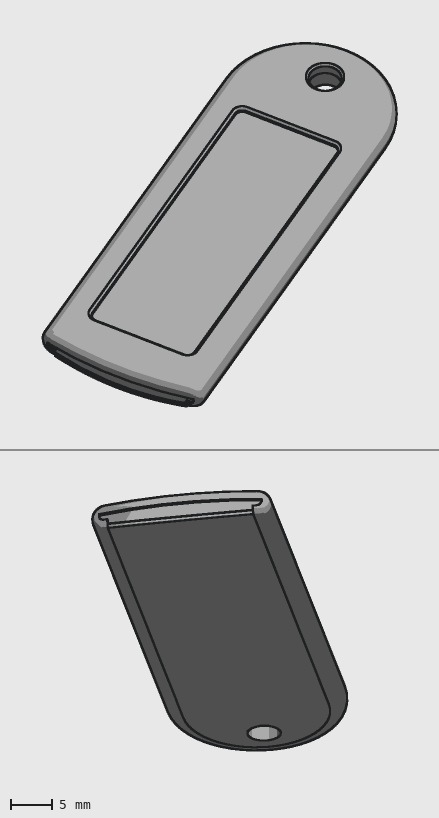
import cadquery as cq
import math

LENGTH = 60.0
WIDTH = 22.0
HEIGHT = 3.85

BASE_Z = 0.4
END_ARC_RADIUS = 50.0
END_FILLET = 1.0
HALF_WIDTH = WIDTH / 2
ROUND_END_Y = LENGTH - HALF_WIDTH
SIDE_RADIUS = (HEIGHT - BASE_Z) / 2
SIDE_CENTRE_X = HALF_WIDTH - SIDE_RADIUS
SIDE_CENTRE_Z = BASE_Z + SIDE_RADIUS

COVER_TOP_Z = 2.35
BELLY_HALF_WIDTH = 8.95
FLANGE_RADIUS = SIDE_RADIUS - END_FILLET
DOME_RADIUS = (BELLY_HALF_WIDTH**2 + BASE_Z**2) / (2 * BASE_Z)
COVER_SETBACK = 0.35
LIP_SETBACK = 0.25
LIP_THICKNESS = 0.55
LIP_LENGTH = 3.6
LIP_FILLET = 0.2

WINDOW_WIDTH = 13.9
WINDOW_LENGTH = 38.9
WINDOW_CENTRE_Y = 25.5
WINDOW_CORNER = 0.95
WINDOW_CHAMFER = 0.35
LABEL_TOP_Z = 3.25

HOLE_DIAMETER = 4.0
HOLE_CENTRE_Y = LENGTH - 5.95
HOLE_CHAMFER = 0.3

SECTION_PLANE = cq.Plane(origin=(0, ROUND_END_Y, 0), xDir=(1, 0, 0), normal=(0, -1, 0))


def straight_part(half_section):
    """Straight stretch of the tag, from the round end's centre to the front, on both sides."""
    right_half = half_section().extrude(ROUND_END_Y)
    return right_half.union(right_half.mirror("YZ"))


def round_part(half_section):
    """Semicircular end of the tag."""
    return half_section().revolve(180, (0, 0), (0, 1))


def end_disc(setback):
    """Upright cylinder whose front side is the bowed front end, moved back by a setback."""
    return (
        cq.Workplane("XY")
        .center(0, END_ARC_RADIUS)
        .circle(END_ARC_RADIUS - setback)
        .extrude(HEIGHT)
    )


def key_hole():
    """Cutter for the key ring hole."""
    return cq.Workplane("XY").center(0, HOLE_CENTRE_Y).circle(HOLE_DIAMETER / 2).extrude(HEIGHT)


def window_panel(top_z):
    """Panel with the outline of the window, from the top of the cover up to a given height."""
    return (
        cq.Workplane("XY", origin=(0, WINDOW_CENTRE_Y, COVER_TOP_Z))
        .rect(WINDOW_WIDTH, WINDOW_LENGTH)
        .extrude(top_z - COVER_TOP_Z)
        .edges("|Z")
        .fillet(WINDOW_CORNER)
    )


def housing_half_section():
    """Right half of the housing's outer section: flat top and bottom with a round side."""
    diagonal = SIDE_RADIUS * math.sqrt(0.5)
    return (
        cq.Workplane(SECTION_PLANE)
        .moveTo(0, BASE_Z)
        .lineTo(SIDE_CENTRE_X, BASE_Z)
        .threePointArc((SIDE_CENTRE_X + diagonal, SIDE_CENTRE_Z - diagonal), (HALF_WIDTH, SIDE_CENTRE_Z))
        .threePointArc((SIDE_CENTRE_X + diagonal, SIDE_CENTRE_Z + diagonal), (SIDE_CENTRE_X, HEIGHT))
        .lineTo(0, HEIGHT)
        .close()
    )


def cover_half_section():
    """Right half of the cover's section: flange with a round side above a domed belly."""
    half_belly_angle = math.asin(BELLY_HALF_WIDTH / DOME_RADIUS) / 2
    dome_middle = (
        DOME_RADIUS * math.sin(half_belly_angle),
        DOME_RADIUS * (1 - math.cos(half_belly_angle)),
    )
    flange_bottom_z = SIDE_CENTRE_Z - FLANGE_RADIUS
    flange_top_x = SIDE_CENTRE_X + math.sqrt(FLANGE_RADIUS**2 - (COVER_TOP_Z - SIDE_CENTRE_Z) ** 2)
    return (
        cq.Workplane(SECTION_PLANE)
        .moveTo(0, 0)
        .threePointArc(dome_middle, (BELLY_HALF_WIDTH, BASE_Z))
        .lineTo(BELLY_HALF_WIDTH, flange_bottom_z)
        .lineTo(SIDE_CENTRE_X, flange_bottom_z)
        .threePointArc((SIDE_CENTRE_X + FLANGE_RADIUS, SIDE_CENTRE_Z), (flange_top_x, COVER_TOP_Z))
        .lineTo(0, COVER_TOP_Z)
        .close()
    )


def make_cover_blank():
    """Cover running all the way to the front; it is also the space left for it in the housing."""
    return straight_part(cover_half_section).union(round_part(cover_half_section))


def chamfered_cut(body, cutter, chamfer):
    """Cut an opening through the flat top of a body and chamfer its upper rim."""
    box = cutter.val().BoundingBox()
    rim = cq.selectors.BoxSelector(
        (box.xmin - chamfer, box.ymin - chamfer, HEIGHT - chamfer),
        (box.xmax + chamfer, box.ymax + chamfer, HEIGHT + chamfer),
        boundingbox=True,
    )
    return body.cut(cutter).edges(rim).chamfer(chamfer)


def make_housing(cover_blank):
    """Outer housing, open below and at the front for the cover, with the window on top."""
    straight = straight_part(housing_half_section).intersect(end_disc(0))
    straight = straight.faces("<Y").edges().fillet(END_FILLET)
    housing = straight.union(round_part(housing_half_section)).cut(cover_blank)
    housing = chamfered_cut(housing, window_panel(HEIGHT), WINDOW_CHAMFER)
    return chamfered_cut(housing, key_hole(), HOLE_CHAMFER)


def make_lip():
    """Fingernail lip: the lowest layer of the cover, standing out in front of its face."""
    layer = (
        cq.Workplane("XZ")
        .center(0, DOME_RADIUS)
        .circle(DOME_RADIUS)
        .circle(DOME_RADIUS - LIP_THICKNESS)
        .extrude(-LIP_LENGTH)
    )
    belly = cq.Workplane("XY").rect(2 * BELLY_HALF_WIDTH, 2 * LIP_LENGTH).extrude(HEIGHT)
    lip = layer.intersect(belly).intersect(end_disc(LIP_SETBACK))
    return lip.faces("<Y").edges("<Z").fillet(LIP_FILLET)


def make_cover(cover_blank):
    """Domed cover with a front face set back under the housing and a lip at its bottom."""
    return cover_blank.intersect(end_disc(COVER_SETBACK)).union(make_lip()).cut(key_hole())


def make_label():
    """Flat label lying on the cover inside the window."""
    return window_panel(LABEL_TOP_Z)


cover_blank = make_cover_blank()
housing = make_housing(cover_blank)
cover = make_cover(cover_blank)
label = make_label()

result = cq.Compound.makeCompound([housing.val(), cover.val(), label.val()])